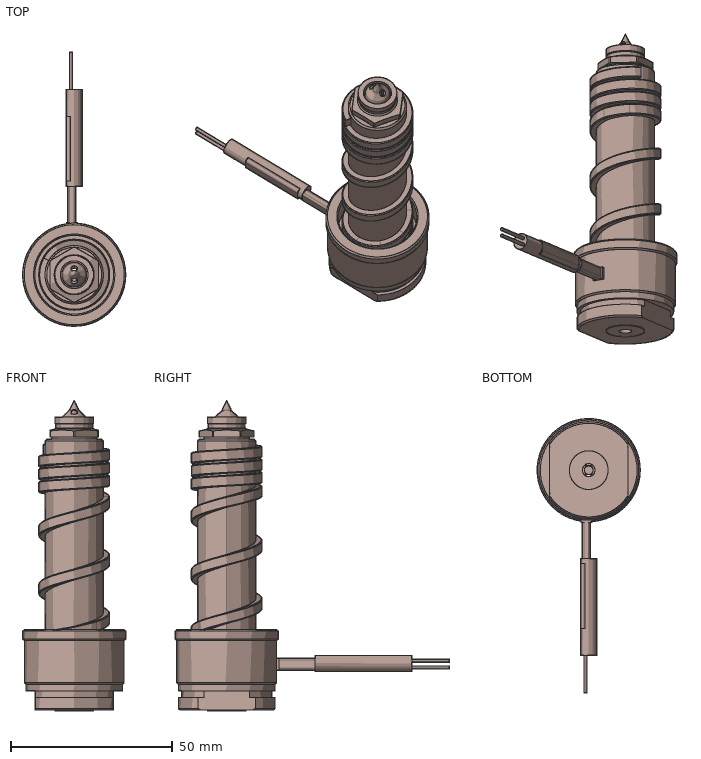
import cadquery as cq
import math

BOTTOM_PAD_HEIGHT = 0.25
FOOT_TOP = 4.2
NECK_TOP = 6.25
COLLAR_TOP = 8.25
FLANGE_BOTTOM = 21.8
FLANGE_TOP = 25.2
CAVITY_FLOOR = 18.0
SHAFT_TOP = 84.2
HEX_BOTTOM = 84.8
HEX_CORNER_TOP = 86.75
HEX_CONE_TOP = 87.3
NOZZLE_FOOT_TOP = 87.7
RIM_BOTTOM = 89.1
RECESS_FLOOR = 89.0
RIM_TOP = 91.05
TORPEDO_SHOULDER = 93.05
TIP_BASE = 93.3
TIP_TOP = 96.2

BOTTOM_PAD_RADIUS = 6.0
FOOT_RADIUS = 15.0
FOOT_CHAMFER = 0.5
NECK_RADIUS = 14.0
WRENCH_FLATS = 24.2
HOUSING_RADIUS = 15.5
HOUSING_CHAMFER = 0.5
FLANGE_RADIUS = 16.0
FLANGE_CHAMFER = 0.5
CAVITY_RADIUS = 12.2
CAVITY_CHAMFER = 0.4

SHAFT_RADIUS = 9.05
SHAFT_CHAMFER = 0.55
HEX_FLATS = 15.0
HEX_CORNER_RADIUS = 8.53
HEX_NECK_RADIUS = 7.0
NOZZLE_FOOT_RADIUS = 6.2
NOZZLE_RADIUS = 5.75
RIM_RADIUS = 6.0
RIM_STEP = 0.25
RECESS_RADIUS = 4.3
TIP_RADIUS = 1.45
SHOULDER_RADIUS = 1.65
TORPEDO_RADIUS = 3.85
TORPEDO_ROUND = 1.1
BORE_RADIUS = 1.95
BORE_TOP = 91.5
NEEDLE_RADIUS = 1.35
NEEDLE_BOTTOM = 90.0
OUTLET_RADIUS = 1.05
OUTLET_OFFSET = 2.05

COIL_RADIUS = 11.0
COIL_HEIGHT = 3.4
COIL_CHAMFER = 0.3
COIL_EMBED = 0.6
TIGHT_PITCH = 4.0
OPEN_PITCH = 18.0
COIL_TOP = 82.7
COIL_END_ANGLE = 151.0
UPPER_TIGHT_SPAN = 3 * 360 + 20.0
RAMP_SPAN = 131.0
RAMP_STEPS = 3
OPEN_SPAN = 2 * 360 + 51.0
LOWER_TIGHT_SPAN = 360.0

CABLE_Z = 14.5
CABLE_START = 14.0
CABLE_STUB_END = 16.2
CABLE_STUB_WIDTH = 3.4
CABLE_X = -0.75
CABLE_WIDTH = 2.6
CABLE_THICKNESS = 3.8
CABLE_FILLET = 0.65
SLEEVE_START = 27.4
SLEEVE_END = 57.4
SLEEVE_RADIUS = 2.5
SLEEVE_Z = 14.7
PAD_START = 29.0
PAD_END = 49.0
PAD_HEIGHT = 4.5
PAD_FILLET = 1.0
WIRE_END = 69.0
WIRE_RADIUS = 0.5
WIRE_SPACING = 2.05
WIRE_X = -1.0


def cylinder(radius, z_bottom, z_top):
    return cq.Workplane("XY").workplane(offset=z_bottom).circle(radius).extrude(z_top - z_bottom)


def bar_along_y(width, height, x, z, y_start, y_end):
    return (
        cq.Workplane("XY")
        .box(width, y_end - y_start, height)
        .translate((x, (y_start + y_end) / 2, z))
    )


def rod_along_y(radius, x, z, y_start, y_end):
    rod = cq.Solid.makeCylinder(radius, y_end - y_start, cq.Vector(x, y_start, z), cq.Vector(0, 1, 0))
    return cq.Workplane(rod)


def make_base():
    """Foot and neck with two wrench flats, standing on a thin round pad."""
    foot = cylinder(FOOT_RADIUS, BOTTOM_PAD_HEIGHT, FOOT_TOP).faces("<Z").chamfer(FOOT_CHAMFER)
    neck = cylinder(NECK_RADIUS, FOOT_TOP, NECK_TOP)
    flats = cq.Workplane("XY").box(WRENCH_FLATS, 2 * FLANGE_RADIUS, 2 * NECK_TOP)
    pad = cylinder(BOTTOM_PAD_RADIUS, 0, FOOT_TOP)
    return foot.union(neck).intersect(flats).union(pad)


def make_housing():
    """Round housing with a collar below, a flange above and an open cavity around the shaft."""
    collar = cylinder(FOOT_RADIUS, NECK_TOP, COLLAR_TOP)
    barrel = cylinder(HOUSING_RADIUS, COLLAR_TOP, FLANGE_BOTTOM)
    barrel = barrel.faces("<Z").chamfer(HOUSING_CHAMFER)
    flange = cylinder(FLANGE_RADIUS, FLANGE_BOTTOM, FLANGE_TOP)
    flange = flange.faces("<Z or >Z").chamfer(FLANGE_CHAMFER)
    cavity = cylinder(CAVITY_RADIUS, CAVITY_FLOOR, FLANGE_TOP)
    housing = collar.union(barrel).union(flange).cut(cavity)
    rim_edges = housing.faces(">Z").edges(cq.selectors.RadiusNthSelector(0))
    return rim_edges.chamfer(CAVITY_CHAMFER)


def make_hexagon():
    """Hexagon above the shaft, its top a shallow cone falling from the nozzle foot to the corners."""
    hexagon = (
        cq.Workplane("XY")
        .workplane(offset=HEX_BOTTOM)
        .transformed(rotate=(0, 0, 30))
        .polygon(6, HEX_FLATS / math.cos(math.pi / 6))
        .extrude(NOZZLE_FOOT_TOP - HEX_BOTTOM)
    )
    profile = [
        (0, HEX_BOTTOM),
        (HEX_CORNER_RADIUS, HEX_BOTTOM),
        (HEX_CORNER_RADIUS, HEX_CORNER_TOP),
        (NOZZLE_FOOT_RADIUS, HEX_CONE_TOP),
        (NOZZLE_RADIUS, NOZZLE_FOOT_TOP),
        (0, NOZZLE_FOOT_TOP),
    ]
    turned = cq.Workplane("XZ").polyline(profile).close().revolve(360, (0, 0), (0, 1))
    return hexagon.intersect(turned)


def make_nozzle():
    """Turned profile above the shaft: neck, rim, ring-shaped recess and pointed torpedo."""
    round_center = TORPEDO_RADIUS - TORPEDO_ROUND
    diagonal = TORPEDO_ROUND * math.sqrt(0.5)
    cone_end_radius = round_center + diagonal
    cone_end_z = TORPEDO_SHOULDER - (cone_end_radius - SHOULDER_RADIUS)
    round_z = cone_end_z - diagonal
    middle = math.radians(45) / 2
    round_middle = (
        round_center + TORPEDO_ROUND * math.cos(middle),
        round_z + TORPEDO_ROUND * math.sin(middle),
    )
    profile = (
        cq.Workplane("XZ")
        .moveTo(0, SHAFT_TOP)
        .lineTo(HEX_NECK_RADIUS, SHAFT_TOP)
        .lineTo(HEX_NECK_RADIUS, HEX_BOTTOM)
        .lineTo(NOZZLE_RADIUS, HEX_BOTTOM)
        .lineTo(NOZZLE_RADIUS, RIM_BOTTOM - RIM_STEP)
        .lineTo(RIM_RADIUS, RIM_BOTTOM)
        .lineTo(RIM_RADIUS, RIM_TOP)
        .lineTo(RECESS_RADIUS, RIM_TOP)
        .lineTo(RECESS_RADIUS, RECESS_FLOOR)
        .lineTo(TORPEDO_RADIUS, RECESS_FLOOR)
        .lineTo(TORPEDO_RADIUS, round_z)
        .threePointArc(round_middle, (cone_end_radius, cone_end_z))
        .lineTo(SHOULDER_RADIUS, TORPEDO_SHOULDER)
        .lineTo(TIP_RADIUS, TIP_BASE)
        .lineTo(0, TIP_TOP)
        .close()
    )
    return profile.revolve(360, (0, 0), (0, 1))


def coil_section(angle, top, pitch, span):
    """Band swept downward from `angle` over `span` degrees; `top` is its upper edge at `angle`."""
    drop = pitch * span / 360
    inner = SHAFT_RADIUS - COIL_EMBED
    band = [
        (inner, 0),
        (COIL_RADIUS - COIL_CHAMFER, 0),
        (COIL_RADIUS, COIL_CHAMFER),
        (COIL_RADIUS, COIL_HEIGHT - COIL_CHAMFER),
        (COIL_RADIUS - COIL_CHAMFER, COIL_HEIGHT),
        (inner, COIL_HEIGHT),
    ]
    path = cq.Workplane(cq.Wire.makeHelix(pitch, drop, SHAFT_RADIUS))
    section = cq.Workplane("XZ").polyline(band).close().sweep(path, isFrenet=True)
    low_angle = angle - span
    return section.rotate((0, 0, 0), (0, 0, 1), low_angle).translate((0, 0, top - COIL_HEIGHT - drop))


def make_coil():
    """Coil sections from the top end down, the pitch changing in small steps along each ramp."""
    pitch_step = (OPEN_PITCH - TIGHT_PITCH) / RAMP_STEPS
    ramp = [(TIGHT_PITCH + (i + 0.5) * pitch_step, RAMP_SPAN / RAMP_STEPS) for i in range(RAMP_STEPS)]
    windings = [(TIGHT_PITCH, UPPER_TIGHT_SPAN)]
    windings += ramp
    windings += [(OPEN_PITCH, OPEN_SPAN)]
    windings += reversed(ramp)
    windings += [(TIGHT_PITCH, LOWER_TIGHT_SPAN)]
    angle = COIL_END_ANGLE
    top = COIL_TOP
    sections = []
    for pitch, span in windings:
        sections.append(coil_section(angle, top, pitch, span))
        angle -= span
        top -= pitch * span / 360
    return sections


def make_outlet(side):
    """Slanted hole square to the torpedo cone, from the bore out to the +Y or -Y side."""
    surface_z = TORPEDO_SHOULDER - (OUTLET_OFFSET - SHOULDER_RADIUS)
    start = cq.Vector(0, 0, surface_z - OUTLET_OFFSET)
    length = 2 * OUTLET_OFFSET * math.sqrt(2)
    return cq.Workplane(cq.Solid.makeCylinder(OUTLET_RADIUS, length, start, cq.Vector(0, side, 1)))


def make_cable():
    """Flat cable from the housing, a round sleeve with a side pad, and two bare wires."""
    stub = bar_along_y(
        CABLE_STUB_WIDTH, CABLE_THICKNESS, CABLE_X, CABLE_Z, CABLE_START, CABLE_STUB_END
    )
    flat_cable = bar_along_y(
        CABLE_WIDTH, CABLE_THICKNESS, CABLE_X, CABLE_Z, CABLE_STUB_END, SLEEVE_START
    )
    flat_cable = flat_cable.edges("|Y").fillet(CABLE_FILLET)
    sleeve = rod_along_y(SLEEVE_RADIUS, 0, SLEEVE_Z, SLEEVE_START, SLEEVE_END)
    pad = bar_along_y(SLEEVE_RADIUS, PAD_HEIGHT, -SLEEVE_RADIUS / 2, SLEEVE_Z, PAD_START, PAD_END)
    pad = pad.edges("|Y and <X").fillet(PAD_FILLET)
    cable = stub.union(flat_cable).union(sleeve).union(pad)
    for side in (-1, 1):
        wire_z = CABLE_Z + side * WIRE_SPACING / 2
        cable = cable.union(rod_along_y(WIRE_RADIUS, WIRE_X, wire_z, SLEEVE_END, WIRE_END))
    return cable


shaft = cylinder(SHAFT_RADIUS, NECK_TOP, SHAFT_TOP).faces(">Z").chamfer(SHAFT_CHAMFER)
result = make_base().union(make_housing()).union(shaft)
for coil_part in make_coil():
    result = result.union(coil_part)
result = result.union(make_nozzle()).union(make_hexagon()).union(make_cable())

result = result.cut(cylinder(BORE_RADIUS, 0, BORE_TOP))
for outlet_side in (-1, 1):
    result = result.cut(make_outlet(outlet_side))
result = result.union(cylinder(NEEDLE_RADIUS, NEEDLE_BOTTOM, TORPEDO_SHOULDER))